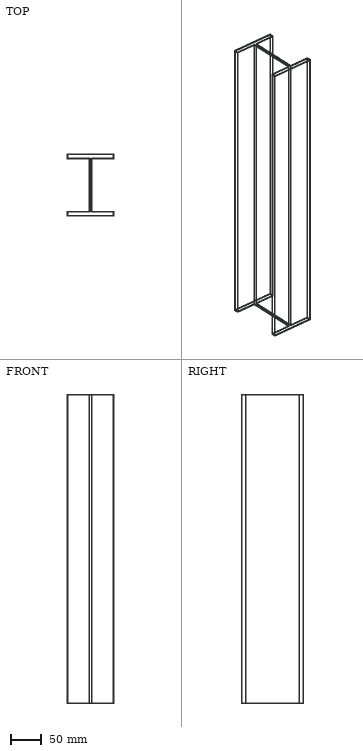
import cadquery as cq

length = 500.0
flange_width = 75.0
section_depth = 100.0
flange_thickness = 7.0
web_thickness = 4.0

web_depth = section_depth - 2 * flange_thickness
result = cq.Workplane("XY").rect(web_thickness, web_depth).extrude(length)

flange_offset = (section_depth - flange_thickness) / 2
for side in (-1, 1):
    flange = (
        cq.Workplane("XY")
        .center(0, side * flange_offset)
        .rect(flange_width, flange_thickness)
        .extrude(length)
    )
    result = result.union(flange)